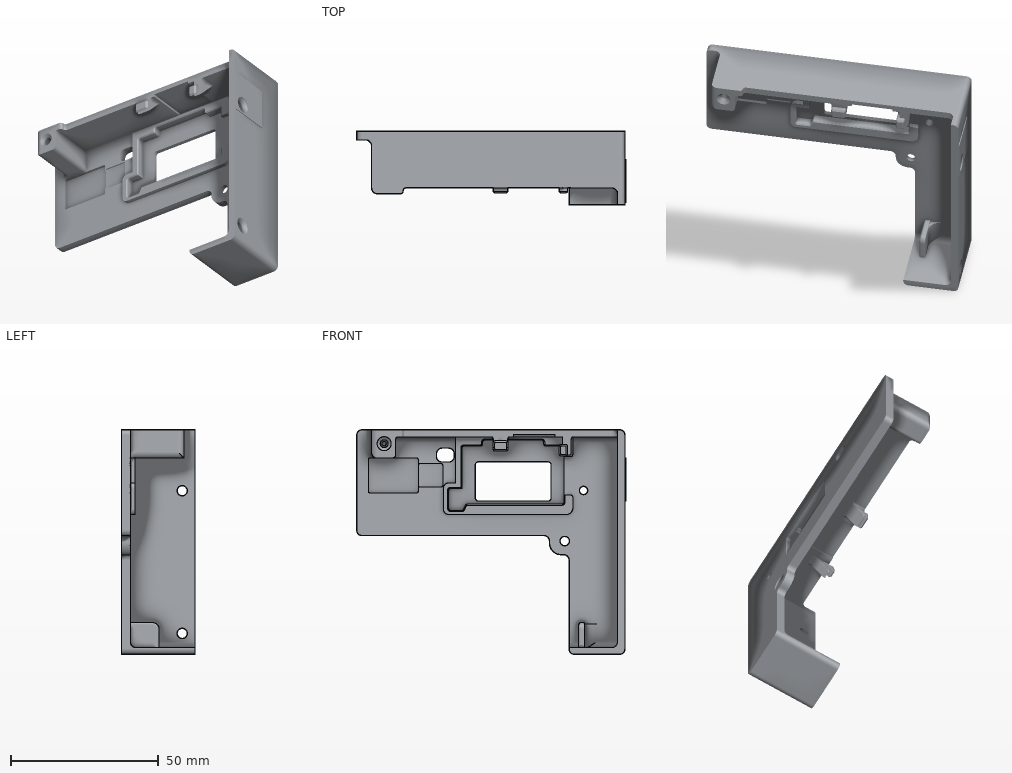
import cadquery as cq
import math


length = 91.0
height = 76.0
depth = 24.9
pad_height = 0.3
body_length = length - pad_height
plate_thickness = 3.0
side_thickness = 2.55
roof_thickness = 2.5
floor_thickness = 2.3
round_radius = 2.0
outer_radius = 1.8

side_inner_x = body_length - side_thickness
roof_bottom_z = height - roof_thickness

arm_bottom_z = 40.1
leg_left_x = 71.8
ear_left_x = 65.2
ear_bottom_z = 33.7
ear_radius = 4.0

roof_left_x = 5.0
roof_depth = 19.2
step_radius = round_radius / 2
block_depth = roof_depth + 2 * step_radius
step_x = 15.7
block_right_x = 13.2
block_bottom_z = 66.3
block_corner_radius = 1.3
block_inner_radius = 0.7
roof_notch_left_x = 53.0
roof_notch_right_x = 67.1
roof_notch_height = 0.8

screw_x = 9.3
screw_z = 71.25
screw_head_diameter = 4.7
screw_diameter = 2.6
screw_tip_diameter = 1.5
screw_hole_depth = 7.3
screw_tip_depth = 1.8

ear_hole_x = 70.3
ear_hole_z = 38.3
ear_hole_diameter = 3.1

plate_hole_x = 76.7
plate_hole_z = 55.4
plate_hole_diameter = 2.7

side_holes = [(20.6, 55.3), (20.6, 7.1)]
side_hole_diameter = 3.4
sink_diameter = 5.8

pad_size = 14.6
pad_depth = 16.9
pad_z = 59.15

window = (40.1, 65.7, 51.9, 65.1)
window_radius = 1.0
cable_hole = (27.0, 32.9, 65.1, 69.7)
cable_hole_radius = 1.8
pocket_split_x = 20.8
large_pocket = (3.9, pocket_split_x, 54.6, 66.4)
large_pocket_depth = 1.0
small_pocket = (pocket_split_x, 29.1, 56.6, 64.5)
small_pocket_depth = 0.5
pocket_radius = 0.6

frame_depth = 4.6
frame_left_x = 33.5
frame_foot_x = 29.3
frame_right_x = 73.1
frame_bottom_z = 47.3
frame_foot_z = 58.0
frame_corner_radius = 2.2
frame_end_radius = 0.7
frame_end_z = 53.9
frame_top_end_z = 66.9
recess_floor_depth = 1.5
recess_left_x = 35.6
recess_right_x = 70.1
recess_foot_x = 31.1
recess_top_z = 70.4
recess_upper_z = 72.4
recess_upper_left_x = 42.6
recess_upper_right_x = 63.2
recess_bottom_z = 50.8
recess_foot_bottom_z = 48.7
recess_foot_top_z = 56.15
recess_foot_right_x = 35.9
recess_slope_x = 36.95
recess_radius = 0.7
rim_chamfer = 0.4

hook_bottom_z = 68.7
hook_nub_height = 3.55
hook_depth = 20.9
hook_left_x = 46.1
hook_right_x = 51.1
side_hook_left_x = 69.5
side_hook_right_x = 72.5
side_hook_bottom_z = 67.3
side_nub_left_x = 68.4
side_nub_right_x = 71.3
side_nub_bottom_z = 67.1
side_nub_height = 3.9
hook_radius = 0.8
hook_flare = 0.8
nub_chamfer = 0.55
nub_radius = 0.7

clip_left_x = 75.1
clip_thickness = 2.0
clip_depth = 12.7
clip_top_z = 10.7
clip_corner_radius = 2.2
clip_outer_radius = 0.7
clip_inner_radius = 0.4
clip_gusset = 4.0
clip_gusset_top_z = 10.2

same_point = 0.001


def rounded_outline(plane, corners):
    """Closed outline through (u, v, radius) corners, each rounded by its radius."""
    outline = cq.Workplane(plane)
    pen = None
    count = len(corners)
    for index, (u, v, radius) in enumerate(corners):
        corner = cq.Vector(u, v)
        before = (cq.Vector(*corners[index - 1][:2]) - corner).normalized()
        after = (cq.Vector(*corners[(index + 1) % count][:2]) - corner).normalized()
        half_angle = before.getAngle(after) / 2
        setback = radius / math.tan(half_angle)
        sagitta = radius / math.sin(half_angle) - radius
        entry = corner + before * setback
        middle = corner + (before + after).normalized() * sagitta
        leave = corner + after * setback
        if pen is None:
            outline = outline.moveTo(entry.x, entry.y)
        elif (entry - pen).Length > same_point:
            outline = outline.lineTo(entry.x, entry.y)
        if radius > 0:
            outline = outline.threePointArc((middle.x, middle.y), (leave.x, leave.y))
        pen = leave
    return outline.close()


def front_prism(corners, back, front):
    """Prism with an XZ outline, reaching from one depth to another."""
    return rounded_outline("XZ", corners).extrude(front - back).translate((0, -back, 0))


def front_box(left, right, bottom, top, back, front, radius=0.0):
    corners = [(left, bottom, radius), (right, bottom, radius), (right, top, radius), (left, top, radius)]
    return front_prism(corners, back, front)


def corner_fill(plane, u, v, u_reach, v_reach):
    """Outline that fills an inside corner at (u, v) with a hollow quarter round."""
    radius = abs(u_reach)
    bulge = 1 - math.sqrt(0.5)
    return (
        cq.Workplane(plane)
        .moveTo(u, v)
        .lineTo(u + u_reach, v)
        .threePointArc((u + u_reach * bulge, v + v_reach * bulge), (u, v + math.copysign(radius, v_reach)))
        .close()
    )


def make_plate():
    return front_prism(
        [
            (0, height, outer_radius),
            (0, arm_bottom_z, outer_radius),
            (ear_left_x, arm_bottom_z, outer_radius),
            (ear_left_x, ear_bottom_z, ear_radius),
            (leg_left_x, ear_bottom_z, outer_radius),
            (leg_left_x, 0, outer_radius),
            (body_length, 0, outer_radius),
            (body_length, height, outer_radius),
        ],
        0,
        plate_thickness,
    )


def make_side_and_floor():
    return front_prism(
        [
            (leg_left_x, 0, outer_radius),
            (body_length, 0, outer_radius),
            (body_length, height, outer_radius),
            (side_inner_x, height, 0),
            (side_inner_x, floor_thickness, round_radius),
            (leg_left_x, floor_thickness, 0),
        ],
        0,
        depth,
    )


def make_roof():
    plan = rounded_outline(
        "XY",
        [
            (roof_left_x, 0, 0),
            (roof_left_x, -block_depth, round_radius),
            (step_x, -block_depth, step_radius),
            (step_x, -roof_depth, step_radius),
            (side_inner_x, -roof_depth, 0),
            (side_inner_x, 0, 0),
        ],
    ).extrude(height)
    section = front_prism(
        [
            (roof_left_x, height, 0),
            (roof_left_x, block_bottom_z, round_radius),
            (block_right_x, block_bottom_z, block_corner_radius),
            (block_right_x, roof_bottom_z, block_inner_radius),
            (side_inner_x, roof_bottom_z, 0),
            (side_inner_x, height, 0),
        ],
        0,
        depth,
    )
    notch = front_box(
        roof_notch_left_x, roof_notch_right_x,
        roof_bottom_z, roof_bottom_z + roof_notch_height, plate_thickness, roof_depth,
    )
    return plan.intersect(section).cut(notch)


def make_corner_rounds():
    """Hollow rounds where the plate, roof, floor and side wall meet."""
    bend_z = block_bottom_z + round_radius
    bend_x = roof_left_x + round_radius
    foot_corner = ("XY", roof_left_x, -plate_thickness, -round_radius, -round_radius)
    block_upright = corner_fill(*foot_corner).extrude(height - bend_z).translate((0, 0, bend_z))
    block_bend = corner_fill(*foot_corner).revolve(90, (bend_x, 0), (bend_x, -1)).translate((0, 0, bend_z))
    under_roof = (
        corner_fill("YZ", -plate_thickness, roof_bottom_z, -round_radius, -round_radius)
        .extrude(side_inner_x - block_right_x)
        .translate((block_right_x, 0, 0))
    )
    on_floor = (
        corner_fill("YZ", -plate_thickness, floor_thickness, -round_radius, round_radius)
        .extrude(side_inner_x - leg_left_x)
        .translate((leg_left_x, 0, 0))
    )
    roof_end = (
        corner_fill("XY", side_inner_x, -roof_depth, -round_radius, -round_radius)
        .extrude(roof_thickness)
        .translate((0, 0, roof_bottom_z))
    )
    return [block_upright, block_bend, under_roof, on_floor, roof_end]


def make_frame():
    return front_prism(
        [
            (frame_left_x, roof_bottom_z, 0),
            (frame_left_x, frame_foot_z, 0),
            (frame_foot_x, frame_foot_z, outer_radius),
            (frame_foot_x, frame_bottom_z, outer_radius),
            (frame_right_x, frame_bottom_z, frame_corner_radius),
            (frame_right_x, frame_end_z, frame_end_radius),
            (recess_right_x, frame_end_z, 0),
            (recess_right_x, frame_top_end_z, 0),
            (frame_right_x, frame_top_end_z, frame_end_radius),
            (frame_right_x, roof_bottom_z, 0),
        ],
        0,
        frame_depth,
    )


def make_recess():
    corners = [
        (recess_left_x, recess_top_z, recess_radius),
        (recess_left_x, recess_foot_top_z, 0),
        (recess_foot_x, recess_foot_top_z, recess_radius),
        (recess_foot_x, recess_foot_bottom_z, recess_radius),
        (recess_foot_right_x, recess_foot_bottom_z, recess_radius),
        (recess_slope_x, recess_bottom_z, recess_radius),
        (recess_right_x, recess_bottom_z, recess_radius),
        (recess_right_x, recess_top_z, 0),
        (recess_upper_right_x, recess_top_z, recess_radius),
        (recess_upper_right_x, recess_upper_z, recess_radius),
        (recess_upper_left_x, recess_upper_z, recess_radius),
        (recess_upper_left_x, recess_top_z, recess_radius),
    ]
    rim = rounded_outline("XZ", corners).extrude(rim_chamfer, taper=-45)
    rim = rim.translate((0, rim_chamfer - frame_depth, 0))
    return front_prism(corners, recess_floor_depth, frame_depth).union(rim)


def make_plate_cuts():
    """Window, cable hole, shallow pockets and plain round hole."""
    large_back = plate_thickness - large_pocket_depth
    large_front = plate_thickness + round_radius
    small_back = plate_thickness - small_pocket_depth
    return [
        front_box(*window, 0, depth, window_radius),
        front_box(*cable_hole, 0, depth, cable_hole_radius),
        front_box(*large_pocket, large_back, large_front, pocket_radius),
        front_box(*small_pocket, small_back, plate_thickness, pocket_radius),
        cq.Workplane("XZ").center(plate_hole_x, plate_hole_z).circle(plate_hole_diameter / 2).extrude(depth),
    ]


def make_screw_hole():
    """Countersunk blind hole with a narrow tip, turned about its own axis."""
    head = screw_head_diameter / 2
    shank = screw_diameter / 2
    tip = screw_tip_diameter / 2
    return (
        cq.Workplane("XY")
        .polyline(
            [
                (0, 0),
                (head, 0),
                (shank, head - shank),
                (shank, screw_hole_depth),
                (tip, screw_hole_depth),
                (tip, screw_hole_depth + screw_tip_depth),
                (0, screw_hole_depth + screw_tip_depth),
            ]
        )
        .close()
        .revolve(360, (0, 0), (0, 1))
        .translate((screw_x, -block_depth, screw_z))
    )


def countersunk_hole(plane, diameter, wall):
    """Through hole along the plane's normal from its countersunk face, also clearing the raised pad."""
    sink_depth = (sink_diameter - diameter) / 2
    bore = cq.Workplane(plane).circle(diameter / 2).extrude(wall)
    sink = cq.Workplane(plane).circle(sink_diameter / 2).extrude(sink_depth, taper=45)
    pad_clearance = cq.Workplane(plane).circle(sink_diameter / 2).extrude(-pad_height)
    return bore.union(sink).union(pad_clearance)


def make_countersunk_holes():
    """Ear hole sunk from the back and side wall holes sunk from outside."""
    ear_hole = countersunk_hole("XZ", ear_hole_diameter, plate_thickness)
    holes = [ear_hole.translate((ear_hole_x, 0, ear_hole_z))]
    for hole_depth, z in side_holes:
        hole = countersunk_hole("ZY", side_hole_diameter, side_thickness)
        holes.append(hole.translate((body_length, -hole_depth, z)))
    return holes


def make_pad():
    pad = cq.Workplane("XY").box(pad_height, pad_size, pad_size, centered=(False, True, True))
    return pad.translate((body_length, -pad_depth, pad_z))


def make_wedge(front, bottom, rise):
    """Block across the full length whose underside slopes back and up at 45 degrees."""
    return (
        cq.Workplane("YZ")
        .polyline([(-front, bottom), (-front, bottom + rise), (rise - front, bottom + rise)])
        .close()
        .extrude(length)
    )


def make_hook_post(left, right, bottom, flared_sides):
    """Post under the roof, sloped underneath, with hollow flares (side x, reach) at the roof."""
    post = front_box(left, right, bottom, height, 0, roof_depth, hook_radius)
    for side_x, reach in flared_sides:
        post = post.union(corner_fill("XZ", side_x, roof_bottom_z, reach, -hook_flare).extrude(roof_depth))
    return post.intersect(make_wedge(roof_depth, bottom, height - bottom))


def make_hook_nub(left, right, bottom, nub_height):
    nub = front_box(left, right, bottom, bottom + nub_height, 0, hook_depth, nub_radius)
    nub = nub.faces("<Y").chamfer(nub_chamfer)
    return nub.intersect(make_wedge(hook_depth, bottom - nub_chamfer, nub_height + nub_chamfer))


def make_hooks():
    hook_flares = [(hook_left_x, -hook_flare), (hook_right_x, hook_flare)]
    side_hook_flares = [(side_hook_right_x, hook_flare)]
    return [
        make_hook_post(hook_left_x, hook_right_x, hook_bottom_z, hook_flares),
        make_hook_nub(hook_left_x, hook_right_x, hook_bottom_z, hook_nub_height),
        make_hook_post(side_hook_left_x, side_hook_right_x, side_hook_bottom_z, side_hook_flares),
        make_hook_nub(side_nub_left_x, side_nub_right_x, side_nub_bottom_z, side_nub_height),
    ]


def make_clip():
    """Thin wall across the floor, braced against the plate by a hollow gusset."""
    wall = (
        rounded_outline(
            "YZ",
            [
                (0, 0, 0),
                (-clip_depth, 0, 0),
                (-clip_depth, clip_top_z, clip_corner_radius),
                (0, clip_top_z, 0),
            ],
        )
        .extrude(clip_thickness)
        .edges("(<X and (>Z or <Y)) or (<X and %CIRCLE)")
        .fillet(clip_outer_radius)
        .edges("(>X and (>Z or <Y)) or (>X and %CIRCLE)")
        .fillet(clip_inner_radius)
        .translate((clip_left_x, 0, 0))
    )
    gusset = corner_fill("XY", clip_left_x + clip_thickness, -plate_thickness, clip_gusset, -clip_gusset)
    return wall.union(gusset.extrude(clip_gusset_top_z))


result = make_plate().union(make_side_and_floor()).union(make_roof()).union(make_frame())
for solid in make_corner_rounds():
    result = result.union(solid)
for cut in [make_recess()] + make_plate_cuts():
    result = result.cut(cut)
for solid in make_hooks() + [make_clip(), make_pad()]:
    result = result.union(solid)
for cut in [make_screw_hole()] + make_countersunk_holes():
    result = result.cut(cut)